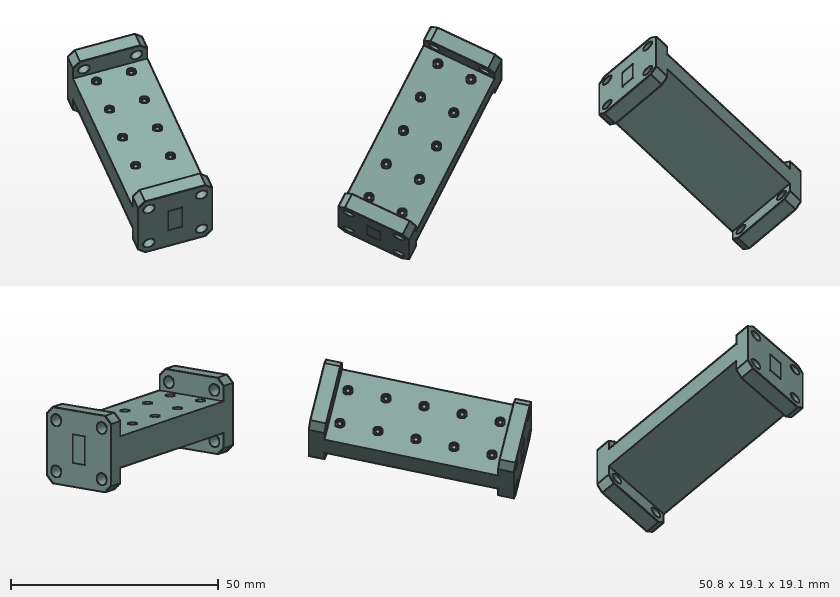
import cadquery as cq

length = 50.8
flange_size = 19.05
flange_thickness = 4.0
flange_corner = 1.8
flange_edge_break = 0.1

bar_height = 7.85

flange_hole_diameter = 2.95
flange_hole_spacing_y = 13.46
flange_hole_spacing_z = 12.7

channel_width = 3.556
channel_height = 7.112

recess_count = 5
recess_pitch = 9.4
recess_row_spacing = 8.9
recess_diameter = 2.3
recess_depth = 0.75
stud_base_diameter = 2.0
stud_top_diameter = 1.1
stud_height = 0.35


def make_flange(start_x):
    """Square plate with bevelled corners and four mounting holes."""
    return (
        cq.Workplane("YZ", origin=(start_x, 0, 0))
        .rect(flange_size, flange_size)
        .extrude(flange_thickness)
        .edges("|X")
        .chamfer(flange_corner)
        .faces("<X or >X")
        .edges()
        .chamfer(flange_edge_break)
        .faces(">X")
        .workplane(centerOption="CenterOfBoundBox")
        .rect(flange_hole_spacing_y, flange_hole_spacing_z, forConstruction=True)
        .vertices()
        .hole(flange_hole_diameter)
    )


def make_recess_cutters():
    """Two rows of cutters along the bar, each a disc hollowed by the conical stud left standing."""
    disc = cq.Solid.makeCylinder(recess_diameter / 2, recess_depth)
    stud = cq.Solid.makeCone(stud_base_diameter / 2, stud_top_diameter / 2, stud_height)
    cutter = disc.cut(stud)
    floor_z = bar_height / 2 - recess_depth
    return (
        cq.Workplane("XY", origin=(0, 0, floor_z))
        .rarray(recess_pitch, recess_row_spacing, recess_count, 2)
        .eachpoint(cutter)
    )


def make_core():
    """Rectangular filling of the waveguide channel, flush with both flange faces."""
    return cq.Workplane("XY").box(length, channel_width, channel_height)


def make_housing():
    """Bar run past the broken inner edges of a flange at each end, pierced by the waveguide channel."""
    bar_length = length - 2 * (flange_thickness - flange_edge_break)
    bar = cq.Workplane("XY").box(bar_length, flange_size, bar_height)
    left_flange = make_flange(-length / 2)
    right_flange = make_flange(length / 2 - flange_thickness)
    blank = bar.union(left_flange).union(right_flange)
    return blank.cut(make_recess_cutters()).cut(make_core())


housing = make_housing()
core = make_core()

result = cq.Compound.makeCompound([housing.val(), core.val()])